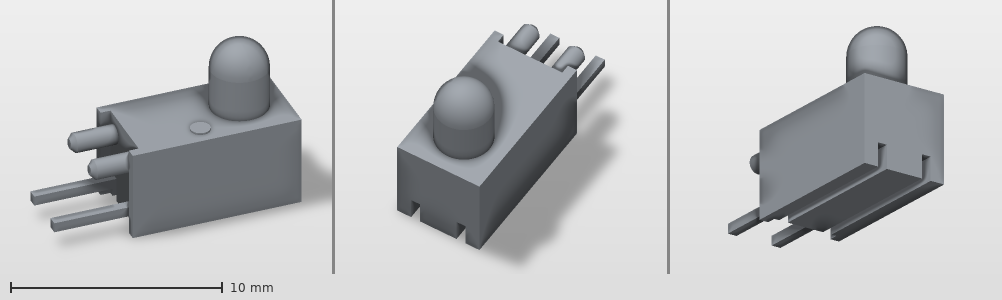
import cadquery as cq


overall_length = 12.28

housing_width = 4.6
housing_length = 8.6
housing_height = 4.6

recess_width = 3.6
recess_depth = 0.5

pitch = 2.54
pair_positions = (-pitch / 2, pitch / 2)

lead_size = 0.5
lead_projection = overall_length - housing_length
lead_slot_height = 1.24

peg_diameter = 1.0
peg_projection = 1.8
peg_drop = 1.01
peg_taper = 0.25

led_diameter = 2.9
led_top = 8.2
led_setback = 6.35

mark_diameter = 1.0
mark_height = 0.1
mark_x = 1.31
mark_setback = 3.83


def make_housing():
    """Block with the front recess and one open-bottomed slot per lead."""
    housing = cq.Workplane("XY").box(
        housing_width, housing_length, housing_height, centered=(True, False, False)
    )
    recess = cq.Workplane("XY").box(
        recess_width, recess_depth, housing_height, centered=(True, False, False)
    )
    slots = (
        cq.Workplane("XY")
        .pushPoints([(x, 0) for x in pair_positions])
        .box(lead_size, housing_length, lead_slot_height, centered=(True, False, False))
    )
    return housing.cut(recess).cut(slots)


def make_lead(x):
    """Straight lead running from under the LED axis out through the front."""
    return (
        cq.Workplane("XY")
        .box(lead_size, lead_projection + led_setback, lead_size, centered=(True, False, False))
        .translate((x, -lead_projection, lead_slot_height - lead_size))
    )


def make_peg(x):
    """Peg standing on the recess floor, tapered at its free end."""
    return (
        cq.Workplane("XZ", origin=(x, recess_depth, housing_height - peg_drop))
        .circle(peg_diameter / 2)
        .extrude(recess_depth + peg_projection)
        .faces("<Y")
        .chamfer(peg_taper)
    )


def make_led():
    """Cylinder closed by a hemisphere, revolved about the LED axis."""
    radius = led_diameter / 2
    dome_base = led_top - radius
    return (
        cq.Workplane("XZ", origin=(0, led_setback, 0))
        .moveTo(0, housing_height)
        .lineTo(radius, housing_height)
        .lineTo(radius, dome_base)
        .radiusArc((0, led_top), -radius)
        .close()
        .revolve(360, (0, 0, 0), (0, 1, 0))
    )


def make_mark():
    """Thin round mark beside the LED."""
    return (
        cq.Workplane("XY", origin=(mark_x, mark_setback, housing_height))
        .circle(mark_diameter / 2)
        .extrude(mark_height)
    )


result = make_housing().union(make_led()).union(make_mark())
for pair_x in pair_positions:
    result = result.union(make_lead(pair_x)).union(make_peg(pair_x))